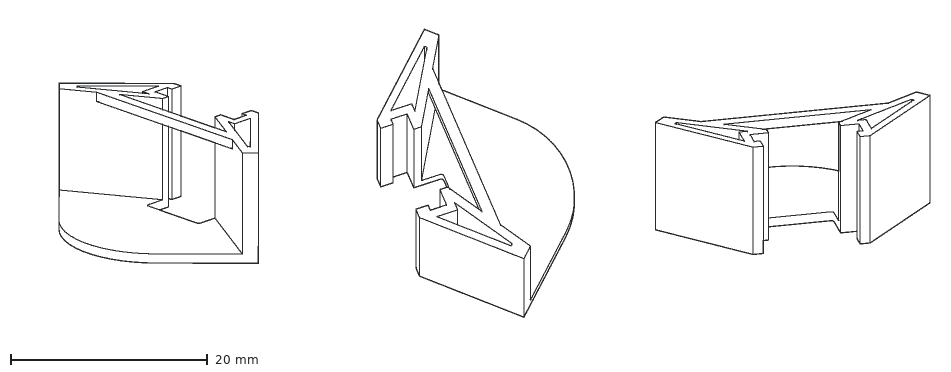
import cadquery as cq
import math

half_width = 14.38
height = 12.0
back_y = 8.25
floor_thickness = 1.0
nose_radius = 10.0

wing_end_width = 1.15
wing_slope = math.tan(math.radians(30))
lip_x = 5.05
lip_y = 6.9
groove_x = 5.7
groove_y = 5.15
slot_half_width = 3.77

slot_front_y = 1.98
slot_corner_radius = 0.3
bar_front_y = 0.83
bar_depth = 1.2
bar_height = 1.0

pocket_side_x = 6.65
pocket_step_x = 5.75
pocket_step_y = 4.29
pocket_diagonal = 13.2
pocket_end = 11.8


def wing_front_y(x):
    """Y of the sloping front face of the wing at a given X."""
    corner_x = half_width - wing_end_width
    return -wing_end_width + (corner_x - x) * wing_slope


def make_floor():
    tangent_x = nose_radius * math.sin(math.radians(45))
    tangent_y = tangent_x - half_width
    nose_y = tangent_y - nose_radius * (1 - math.cos(math.radians(45)))
    rear_corner_x = half_width - back_y
    plate = (
        cq.Workplane("XY")
        .moveTo(-rear_corner_x, back_y)
        .lineTo(-half_width, 0)
        .lineTo(-tangent_x, tangent_y)
        .threePointArc((0, nose_y), (tangent_x, tangent_y))
        .lineTo(half_width, 0)
        .lineTo(rear_corner_x, back_y)
        .close()
        .extrude(floor_thickness)
    )
    slot_length = back_y - slot_front_y
    slot = (
        cq.Workplane("XY")
        .box(2 * slot_half_width, slot_length, floor_thickness, centered=(True, False, False))
        .translate((0, slot_front_y, 0))
        .edges("|Z and <Y")
        .fillet(slot_corner_radius)
    )
    rear_steps = [(slot_half_width, back_y), (lip_x, back_y), (lip_x, lip_y),
                  (groove_x, lip_y), (groove_x, groove_y), (slot_half_width, groove_y)]
    clearance = cq.Workplane("XY").polyline(rear_steps).close().extrude(floor_thickness)
    return plate.cut(slot).cut(clearance).cut(clearance.mirror("YZ"))


def make_wing():
    outline = [
        (half_width, 0),
        (half_width - back_y, back_y),
        (lip_x, back_y),
        (lip_x, lip_y),
        (groove_x, lip_y),
        (groove_x, groove_y),
        (slot_half_width, groove_y),
        (slot_half_width, wing_front_y(slot_half_width)),
        (half_width - wing_end_width, -wing_end_width),
    ]
    return cq.Workplane("XY").polyline(outline).close().extrude(height)


def make_pocket():
    """Blind pocket, open at the top, with its inner side parallel to the wing front."""
    outer_tip_x = (pocket_diagonal + pocket_end) / 2
    inner_tip_x = (pocket_end + pocket_step_y + pocket_step_x * wing_slope) / (1 + wing_slope)
    outline = [
        (pocket_side_x, pocket_diagonal - pocket_side_x),
        (pocket_side_x, pocket_step_y),
        (pocket_step_x, pocket_step_y),
        (inner_tip_x, inner_tip_x - pocket_end),
        (outer_tip_x, outer_tip_x - pocket_end),
    ]
    pocket_depth = height - floor_thickness
    return (
        cq.Workplane("XY", origin=(0, 0, floor_thickness))
        .polyline(outline)
        .close()
        .extrude(pocket_depth)
    )


def make_bar():
    """Cross bar between the wings, its ends following their sloping front faces."""
    bar_back_y = bar_front_y + bar_depth
    corner_x = half_width - wing_end_width
    front_x = corner_x - (bar_front_y + wing_end_width) / wing_slope
    back_x = corner_x - (bar_back_y + wing_end_width) / wing_slope
    outline = [(-front_x, bar_front_y), (front_x, bar_front_y),
               (back_x, bar_back_y), (-back_x, bar_back_y)]
    return (
        cq.Workplane("XY", origin=(0, 0, height - bar_height))
        .polyline(outline)
        .close()
        .extrude(bar_height)
    )


wing = make_wing().cut(make_pocket())
result = make_floor().union(wing).union(wing.mirror("YZ")).union(make_bar())